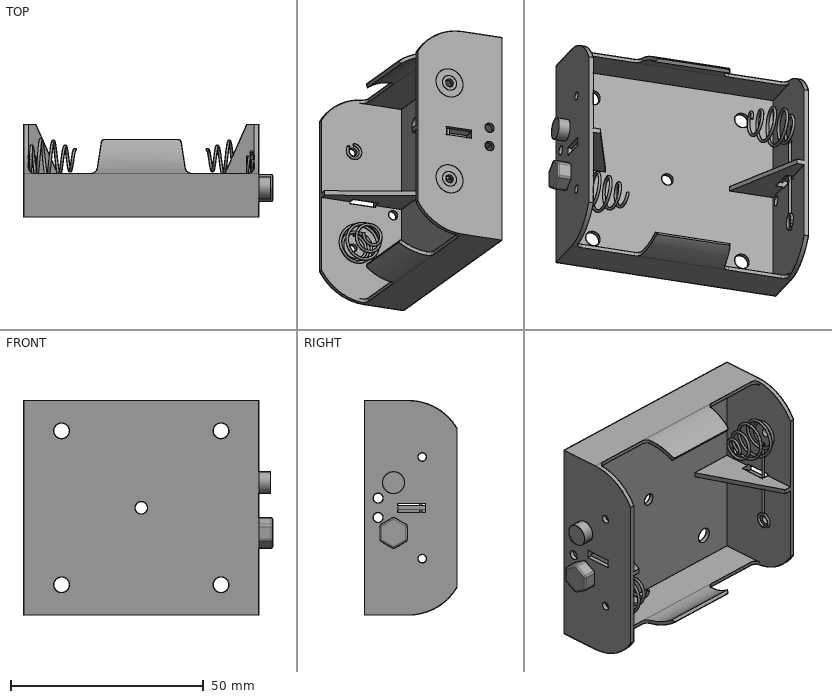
import cadquery as cq
import math


OVERALL_LENGTH = 64.6
LENGTH = 60.95
DEPTH = 24.0
HEIGHT = 55.65
WALL = 1.2
SIDE_WALL = 1.0
TRAY_DEPTH = 11.35
CORNER_RADIUS = 14.65
RIM_FILLET = 1.6
CORNER_Z = HEIGHT / 2 - CORNER_RADIUS

CELL_Y = 15.0
CELL_Z = 13.2

CLIP_TOP_Y = 20.15
CLIP_TOP_WIDTH = 20.55
CLIP_BASE_WIDTH = 23.25
CLIP_TOP_FILLET = 0.85

GUSSET_TOP_X = 3.15
GUSSET_TRAY_X = 8.8
SLOT_BOTTOM_Y = 8.65
SLOT_TOP_Y = 15.8
SLOT_HEIGHT = 2.2
SLOT_REACH = 3.15

MOUNT_HOLE = 4.0
MOUNT_SPACING_X = 41.3
MOUNT_SPACING_Z = 39.9
CENTRE_HOLE = 3.15
LEAD_HOLE = 2.5
LEAD_Y = 3.55
LEAD_Z = 2.5
CONTACT_HOLE = 2.1

WASHER_OUTER = 7.7
WASHER_INNER = 4.0
WASHER_THICKNESS = 0.6

SNAP_Y = 7.55
SNAP_Z = 6.5
STUD_DIAMETER = 5.7
STUD_LENGTH = 3.05
SOCKET_FLATS = 7.1
SOCKET_CORNER_FILLET = 0.8
SOCKET_END_FILLET = 0.45
SOCKET_LENGTH = OVERALL_LENGTH - LENGTH

WIRE = 0.7
WIRE_START_X = WALL + WIRE / 2
POINTS_PER_TURN = 12
LINK_Y = 14.6
SPRING_STATIONS = [
    (-0.75, 3.4, WIRE_START_X),
    (0.0, 3.4, 2.0),
    (1.0, 5.1, 4.45),
    (2.0, 4.65, 7.7),
    (3.0, 3.35, 10.8),
    (4.0, 2.5, 13.3),
]
RING_RADIUS = 1.9
RING_STATIONS = [
    (0.25, RING_RADIUS, WIRE_START_X),
    (1.1, RING_RADIUS, WIRE_START_X + 0.3),
]


def block(x_range, y_range, z_range):
    """Box between pairs of X, Y and Z limits."""
    (x0, x1), (y0, y1), (z0, z1) = x_range, y_range, z_range
    return cq.Workplane("XY").box(x1 - x0, y1 - y0, z1 - z0, centered=False).translate((x0, y0, z0))


def rod(diameter, x_start, length, y, z):
    """Cylinder that runs along +X."""
    return cq.Workplane("YZ", origin=(x_start, y, z)).circle(diameter / 2).extrude(length)


def mirrored_end(body):
    """The same shape at the opposite end of the housing."""
    return body.mirror("YZ", basePointVector=(LENGTH / 2, 0, 0))


def turned_end_for_end(body):
    """The same shape turned half a turn about the housing's middle Y axis."""
    return body.rotate((LENGTH / 2, 0, 0), (LENGTH / 2, 1, 0), 180)


def end_profile(inset, bottom_y):
    """Prism with the holder's end outline, drawn in by inset at the sides and rounded corners."""
    side = HEIGHT / 2 - inset
    radius = CORNER_RADIUS - inset
    sweep = math.asin((DEPTH - TRAY_DEPTH) / radius)

    def arc_point(angle):
        return TRAY_DEPTH + radius * math.sin(angle), CORNER_Z + radius * math.cos(angle)

    mid_y, mid_z = arc_point(sweep / 2)
    top_y, top_z = arc_point(sweep)
    return (
        cq.Workplane("YZ")
        .moveTo(bottom_y, -side)
        .lineTo(bottom_y, side)
        .lineTo(TRAY_DEPTH, side)
        .threePointArc((mid_y, mid_z), (top_y, top_z))
        .lineTo(top_y, -top_z)
        .threePointArc((mid_y, -mid_z), (TRAY_DEPTH, -side))
        .close()
        .extrude(LENGTH)
    )


def fillet_at(body, points, radius):
    """Round the edges along Z that pass through the given XY points."""
    for x, y in points:
        near = cq.selectors.BoxSelector((x - 0.05, y - 0.05, -HEIGHT), (x + 0.05, y + 0.05, HEIGHT))
        body = body.edges("|Z").edges(near).fillet(radius)
    return body


def wall_outline():
    """Prism along Z with the XY outline of the tray, end walls and clips."""
    middle = LENGTH / 2
    rim_corners = [(WALL, TRAY_DEPTH), (LENGTH - WALL, TRAY_DEPTH)]
    clip_feet = [(middle + side * CLIP_BASE_WIDTH / 2, TRAY_DEPTH) for side in (-1, 1)]
    clip_tips = [(middle + side * CLIP_TOP_WIDTH / 2, CLIP_TOP_Y) for side in (-1, 1)]
    outline = [
        (0, 0),
        (0, DEPTH),
        (WALL, DEPTH),
        rim_corners[0],
        clip_feet[0],
        clip_tips[0],
        clip_tips[1],
        clip_feet[1],
        rim_corners[1],
        (LENGTH - WALL, DEPTH),
        (LENGTH, DEPTH),
        (LENGTH, 0),
    ]
    prism = cq.Workplane("XY").polyline(outline).close().extrude(HEIGHT / 2, both=True)
    prism = fillet_at(prism, rim_corners + clip_feet, RIM_FILLET)
    return fillet_at(prism, clip_tips, CLIP_TOP_FILLET)


def clip_tip_cutter():
    """Wedge about the +Z corner axis that ends the clip square to its curve."""
    angle = math.asin((CLIP_TOP_Y - TRAY_DEPTH) / CORNER_RADIUS)
    reach = 2 * CORNER_RADIUS
    tip = (TRAY_DEPTH + reach * math.sin(angle), CORNER_Z + reach * math.cos(angle))
    outline = [(TRAY_DEPTH, CORNER_Z), tip, (TRAY_DEPTH + reach, CORNER_Z)]
    middle = cq.Workplane("YZ", origin=(LENGTH / 2, 0, 0))
    return middle.polyline(outline).close().extrude(CLIP_BASE_WIDTH / 2, both=True)


def make_shell():
    """Floor, side walls with clips, and end walls."""
    cavity = end_profile(SIDE_WALL, WALL).intersect(
        block((WALL, LENGTH - WALL), (WALL, DEPTH), (-HEIGHT / 2, HEIGHT / 2))
    )
    tip_cutter = clip_tip_cutter()
    shell = end_profile(0, 0).intersect(wall_outline()).cut(cavity)
    return shell.cut(tip_cutter).cut(tip_cutter.mirror("XY"))


def make_gusset():
    """Sloped rib between the cells that braces the -X end wall down to the floor."""
    slope = (GUSSET_TRAY_X - GUSSET_TOP_X) / (DEPTH - TRAY_DEPTH)
    foot_x = GUSSET_TOP_X + slope * DEPTH
    outline = [(0, 0), (foot_x, 0), (GUSSET_TOP_X, DEPTH), (0, DEPTH)]
    return cq.Workplane("XY").polyline(outline).close().extrude(WALL / 2, both=True)


def make_link_slot():
    return block((0, SLOT_REACH), (SLOT_BOTTOM_Y, SLOT_TOP_Y), (-SLOT_HEIGHT / 2, SLOT_HEIGHT / 2))


def floor_holes():
    """Four mounting holes and one centre hole through the floor."""
    floor = cq.Workplane("XZ", origin=(LENGTH / 2, 0, 0))
    mounts = floor.rect(MOUNT_SPACING_X, MOUNT_SPACING_Z, forConstruction=True).vertices()
    mounts = mounts.circle(MOUNT_HOLE / 2).extrude(-WALL)
    return mounts.add(floor.circle(CENTRE_HOLE / 2).extrude(-WALL)).combine()


def make_housing():
    body = make_shell()
    gusset = make_gusset()
    slot = make_link_slot()
    body = body.union(gusset).union(mirrored_end(gusset))
    body = body.cut(slot).cut(mirrored_end(slot)).cut(floor_holes())
    for side in (-1, 1):
        body = body.cut(rod(LEAD_HOLE, 0, LENGTH, LEAD_Y, side * LEAD_Z))
        body = body.cut(rod(CONTACT_HOLE, 0, LENGTH, CELL_Y, side * CELL_Z))
        body = body.cut(make_washer(side))
    return body


def make_washer(side):
    """Ring around a contact hole, flush with the outer face of the -X wall."""
    disc = rod(WASHER_OUTER, 0, WASHER_THICKNESS, CELL_Y, side * CELL_Z)
    return disc.cut(rod(WASHER_INNER, 0, WASHER_THICKNESS, CELL_Y, side * CELL_Z))


def make_stud():
    return rod(STUD_DIAMETER, LENGTH, STUD_LENGTH, SNAP_Y, SNAP_Z)


def make_socket():
    """Hexagonal snap socket with two flats square to Y."""
    return (
        cq.Workplane("YZ", origin=(LENGTH, SNAP_Y, -SNAP_Z))
        .polygon(6, SOCKET_FLATS, circumscribed=True)
        .extrude(SOCKET_LENGTH)
        .edges("|X")
        .fillet(SOCKET_CORNER_FILLET)
        .faces(">X")
        .edges()
        .fillet(SOCKET_END_FILLET)
    )


def between_stations(stations, turn):
    """Radius and X at a turn count, in straight proportion between stations."""
    for (turn0, radius0, x0), (turn1, radius1, x1) in zip(stations, stations[1:]):
        if turn <= turn1:
            break
    share = (turn - turn0) / (turn1 - turn0)
    return radius0 + share * (radius1 - radius0), x0 + share * (x1 - x0)


def make_coil(stations, axis_z):
    """Round wire wound about a cell axis through the given stations."""
    first = stations[0][0]
    last = stations[-1][0]
    steps = round((last - first) * POINTS_PER_TURN)
    points = []
    for step in range(steps + 1):
        turn = first + (last - first) * step / steps
        radius, x = between_stations(stations, turn)
        angle = 2 * math.pi * turn
        y = CELL_Y + radius * math.cos(angle)
        z = axis_z - radius * math.sin(angle)
        points.append(cq.Vector(x, y, z))
    path = cq.Workplane("XY").spline(points)
    centreline = path.val()
    start = cq.Plane(centreline.startPoint(), (1, 0, 0), centreline.tangentAt(0))
    return cq.Workplane(start).circle(WIRE / 2).sweep(path)


def make_link():
    """Straight wire from the ring to the spring across the gusset slot."""
    ring_z = RING_RADIUS - CELL_Z
    spring_z = CELL_Z - SPRING_STATIONS[0][1]
    start = cq.Workplane("XY", origin=(WIRE_START_X, LINK_Y, ring_z))
    return start.circle(WIRE / 2).extrude(spring_z - ring_z)


housing = make_housing()
washers = [make_washer(side) for side in (-1, 1)]
stud = make_stud()
socket = make_socket()

spring = make_coil(SPRING_STATIONS, CELL_Z)
ring = make_coil(RING_STATIONS, -CELL_Z)
linked_contact = spring.union(make_link()).union(ring)
negative_spring = turned_end_for_end(spring)
positive_ring = turned_end_for_end(ring)

result = cq.Compound.makeCompound(
    [
        housing.val(),
        *[washer.val() for washer in washers],
        stud.val(),
        socket.val(),
        linked_contact.val(),
        negative_spring.val(),
        positive_ring.val(),
    ]
)